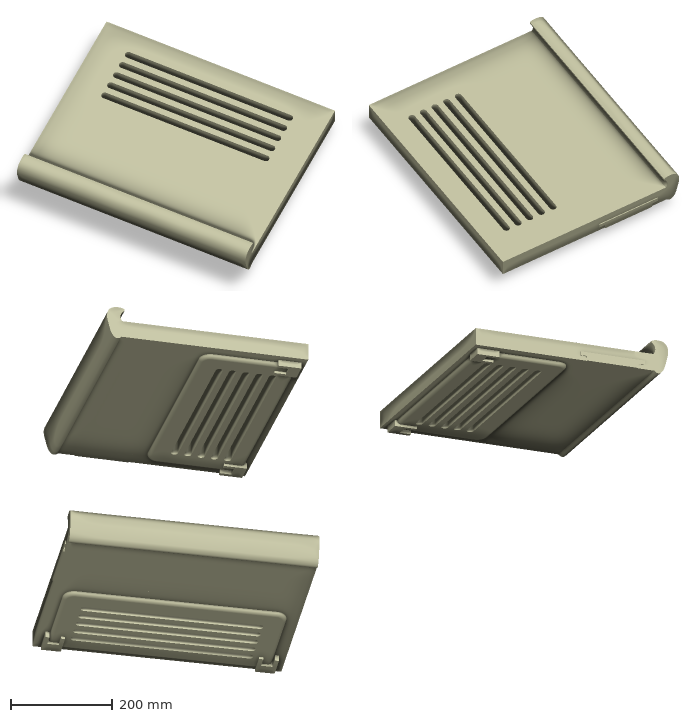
import cadquery as cq


deck_width = 500.0
deck_depth = 410.5
deck_thickness = 35.0
back_y = deck_depth / 2
front_y = -back_y
left_x = -deck_width / 2

lip_height = 65.0
lip_root = 31.0
lip_hollow = 27.5
lip_tip = 35.5
lip_tip_low = 58.5
lip_tip_high = 62.0
lip_top = 20.0
lip_shoulder = 5.0
lip_shoulder_height = 59.0
lip_nose_height = 43.5
lip_chin_top = 4.0
lip_chin_top_height = 23.0
lip_chin_bottom = 10.0
lip_chin_bottom_height = 4.5
lip_heel = 17.5
lip_heel_drop = 3.5
lip_heel_end = 29.5

slot_count = 5
slot_length = 366.5
slot_width = 14.0
slot_pitch = 27.0
slots_y = 97.0

tray_length = 502.0
tray_overhang = tray_length - deck_width
tray_y = -86.5
tray_width = 136.5
tray_height = 17.5
flange_thickness = 8.0
flange_reach = 13.5
tray_fillet = 4.0
stem_width = tray_width - 2 * flange_reach
stem_height = tray_height - flange_thickness

base_width = 449.5
base_front_y = -5.5
base_back_y = 190.5
base_thickness = 8.0
base_corner_radius = 23.0
base_edge_radius = 7.5
base_y = (base_front_y + base_back_y) / 2

foot_width = 39.5
foot_depth = 46.5
foot_height = 13.0
foot_back_y = 195.0
foot_spacing = 429.5
notch_width = 23.0
notch_depth = foot_depth / 2
foot_y = foot_back_y - foot_depth / 2
foot_front_y = foot_back_y - foot_depth


def lip_point(behind_front, height):
    """Y and Z of a lip point."""
    return (front_y + behind_front, height)


def make_vent_slots():
    """Round-ended cutters running along X, tall enough to pass through the deck and the base."""
    cutter_height = deck_thickness + base_thickness
    return (
        cq.Workplane("XY", origin=(0, slots_y, -base_thickness))
        .rarray(5, slot_pitch, 1, slot_count)
        .slot2D(slot_length, slot_width)
        .extrude(cutter_height)
    )


def make_tray():
    """T-section bar flush with the deck underside, standing out of the left side."""
    flange = cq.Workplane("XY").box(
        tray_length, tray_width, flange_thickness, centered=(False, True, False)
    )
    stem = cq.Workplane("XY").box(
        tray_length, stem_width, stem_height, centered=(False, True, False)
    )
    tray = stem.union(flange.translate((0, 0, stem_height)))
    inner_corners = cq.selectors.BoxSelector(
        (0, -stem_width / 2 - tray_fillet, stem_height - tray_fillet),
        (tray_length, stem_width / 2 + tray_fillet, stem_height + tray_fillet),
    )
    tray = tray.edges("|X").edges(inner_corners).fillet(tray_fillet)
    return tray.translate((left_x - tray_overhang, tray_y, 0))


def make_deck(tray, vent_slots):
    """Deck and lip as one extruded profile, cut by the vent slots and the T slot of the tray."""
    lip_outside = [
        lip_point(lip_top, lip_height),
        lip_point(lip_shoulder, lip_shoulder_height),
        lip_point(0, lip_nose_height),
        lip_point(lip_chin_top, lip_chin_top_height),
        lip_point(lip_chin_bottom, lip_chin_bottom_height),
        lip_point(lip_heel, -lip_heel_drop),
        lip_point(lip_heel_end, 0),
    ]
    profile = (
        cq.Workplane("YZ", origin=(left_x, 0, 0))
        .moveTo(back_y, 0)
        .lineTo(back_y, deck_thickness)
        .lineTo(*lip_point(lip_root, deck_thickness))
        .threePointArc(lip_point(lip_hollow, lip_nose_height), lip_point(lip_tip, lip_tip_low))
        .lineTo(*lip_point(lip_tip, lip_tip_high))
        .spline(lip_outside, includeCurrent=True)
        .close()
    )
    return profile.extrude(deck_width).cut(vent_slots).cut(tray)


def make_foot(x):
    """Block under the deck with a notch open to the front."""
    foot = cq.Workplane("XY", origin=(x, foot_y, 0)).rect(foot_width, foot_depth).extrude(-foot_height)
    notch = (
        cq.Workplane("XY", origin=(x, foot_front_y, 0))
        .rect(notch_width, 2 * notch_depth)
        .extrude(-foot_height)
    )
    return foot.cut(notch)


def make_vent_base(vent_slots):
    """Rounded plate under the vent slots, joined to the two feet."""
    base = (
        cq.Workplane("XY", origin=(0, base_y, 0))
        .rect(base_width, base_back_y - base_front_y)
        .extrude(-base_thickness)
        .edges("|Z")
        .fillet(base_corner_radius)
        .faces("<Z")
        .edges()
        .fillet(base_edge_radius)
    )
    for side in (-1, 1):
        base = base.union(make_foot(side * foot_spacing / 2))
    return base.cut(vent_slots)


vent_slots = make_vent_slots()
tray = make_tray()
deck = make_deck(tray, vent_slots)
vent_base = make_vent_base(vent_slots)

result = cq.Compound.makeCompound([deck.solids().val(), tray.solids().val(), vent_base.solids().val()])